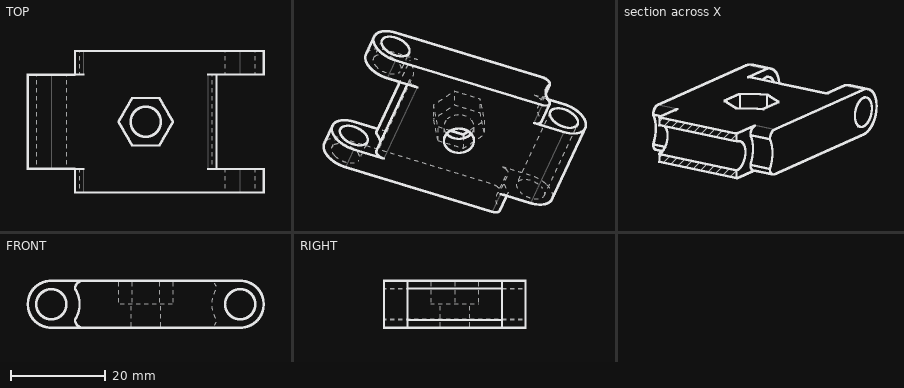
import cadquery as cq
import math

width = 30.0
thickness = 10.0
pin_spacing = 40.0

knuckle_radius = thickness / 2
pin_diameter = 6.35
center_knuckle_width = 20.0
pin_x = pin_spacing / 2

clearance_radius = 6.0
body_length = 2 * (pin_x - knuckle_radius)
lip_radius = 1.8

bolt_diameter = 6.35
nut_across_flats = 10.0
nut_pocket_depth = thickness / 2
nut_across_corners = nut_across_flats / math.cos(math.pi / 6)


def cylinder_along_y(x, radius, length):
    """Cylinder parallel to Y, centred on the XZ point (x, 0)."""
    return cq.Workplane("XZ").center(x, 0).circle(radius).extrude(length / 2, both=True)


def body():
    """Full-width block with rounded lips and a concave clearance at both ends."""
    block = cq.Workplane("XY").box(body_length, width, thickness)
    block = block.edges("|Y").fillet(lip_radius)
    for x in (-pin_x, pin_x):
        block = block.cut(cylinder_along_y(x, clearance_radius, width))
    return block


def knuckle(side, length):
    """Round-ended bar reaching from the middle of the body to a pin axis."""
    arm = cq.Workplane("XY").box(pin_x, length, thickness).translate((side * pin_x / 2, 0, 0))
    return arm.union(cylinder_along_y(side * pin_x, knuckle_radius, length))


def center_knuckle():
    """Single knuckle on the -X end."""
    return knuckle(-1, center_knuckle_width)


def fork_knuckles():
    """Two outer knuckles on the +X end, separated by the width of the centre knuckle."""
    gap = cq.Workplane("XY").box(2 * pin_spacing, center_knuckle_width, thickness)
    return knuckle(1, width).cut(gap)


def pin_holes():
    """Full-width hinge pin holes at both ends."""
    left = cylinder_along_y(-pin_x, pin_diameter / 2, width)
    right = cylinder_along_y(pin_x, pin_diameter / 2, width)
    return left.union(right)


def fastener_cut():
    """Through bolt hole with a hexagonal nut pocket in the top face."""
    bolt = cq.Workplane("XY").circle(bolt_diameter / 2).extrude(thickness / 2, both=True)
    top = cq.Workplane("XY").workplane(offset=thickness / 2)
    nut = top.polygon(6, nut_across_corners).extrude(-nut_pocket_depth)
    return bolt.union(nut)


link = body().union(center_knuckle()).union(fork_knuckles())
result = link.cut(pin_holes()).cut(fastener_cut())